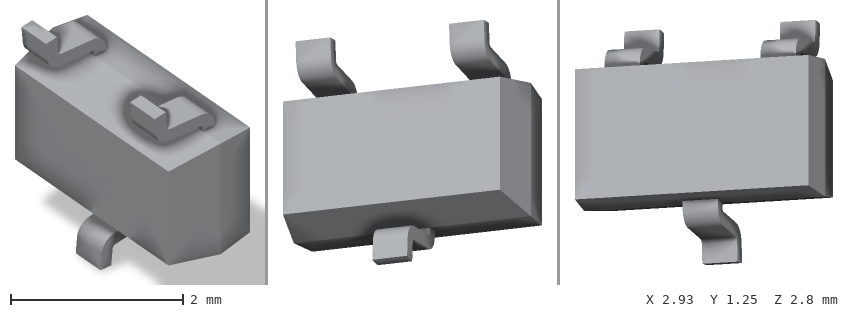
import cadquery as cq
import math

body_length = 2.93
body_height = 1.625
front_depth = 0.7
back_depth = 0.495
front_draft = 10.0
back_draft = 5.0

lead_width = 0.43
lead_thickness = 0.17
lead_pitch = 0.95
inner_radius = 0.05
outer_radius = inner_radius + lead_thickness
root_rise = 0.047
run_length = 0.492
foot_length = 0.235
lead_tilt = 5.0


def move(point, direction, distance):
    """Point reached by going a distance along a unit direction in the YZ plane."""
    return (point[0] + direction[0] * distance, point[1] + direction[1] * distance)


def opposite(direction):
    return (-direction[0], -direction[1])


def direction_at(degrees):
    """Unit YZ direction at an angle measured from +Y toward +Z."""
    angle = math.radians(degrees)
    return (math.cos(angle), math.sin(angle))


def make_half(depth, draft):
    """Tapered block growing from the parting plane; positive depth goes toward -Y."""
    return (
        cq.Workplane("XZ")
        .rect(body_length, body_height)
        .extrude(depth, taper=draft)
    )


def make_housing():
    front_half = make_half(front_depth, front_draft)
    back_half = make_half(back_depth, back_draft).mirror("XZ")
    return front_half.union(back_half)


def make_lead(x_center):
    """Upper gull-wing lead, standing on the drafted top face of the housing."""
    root_z = body_height / 2
    root_back_z = root_z - lead_thickness * math.tan(math.radians(back_draft))

    run_normal = direction_at(90 - lead_tilt)
    run_direction = direction_at(180 - lead_tilt)
    first_middle = direction_at((90 - lead_tilt) / 2)
    second_start = opposite(run_normal)
    second_end = direction_at(180 + lead_tilt)
    second_middle = direction_at(225)
    foot_direction = direction_at(90 + lead_tilt)

    first_center = (-inner_radius, root_z + root_rise)
    run_start_center = move(first_center, run_normal, inner_radius + outer_radius)
    second_center = move(run_start_center, run_direction, run_length)
    foot_inner = move(second_center, second_end, inner_radius)
    foot_outer = move(second_center, second_end, outer_radius)

    profile = (
        cq.Workplane("YZ", origin=(x_center - lead_width / 2, 0, 0))
        .moveTo(0, root_z)
        .lineTo(lead_thickness, root_back_z)
        .lineTo(lead_thickness, first_center[1])
        .threePointArc(
            move(first_center, first_middle, outer_radius),
            move(first_center, run_normal, outer_radius),
        )
        .lineTo(*move(second_center, second_start, inner_radius))
        .threePointArc(move(second_center, second_middle, inner_radius), foot_inner)
        .lineTo(*move(foot_inner, foot_direction, foot_length))
        .lineTo(*move(foot_outer, foot_direction, foot_length))
        .lineTo(*foot_outer)
        .threePointArc(
            move(second_center, second_middle, outer_radius),
            move(second_center, second_start, outer_radius),
        )
        .lineTo(*move(first_center, run_normal, inner_radius))
        .threePointArc(
            move(first_center, first_middle, inner_radius),
            (0, first_center[1]),
        )
        .close()
    )
    return profile.extrude(lead_width)


housing = make_housing()
leads = [make_lead(x_center) for x_center in (-lead_pitch, lead_pitch)]
leads.append(make_lead(0).mirror("XY"))

result = cq.Compound.makeCompound([housing.val(), *[lead.val() for lead in leads]])